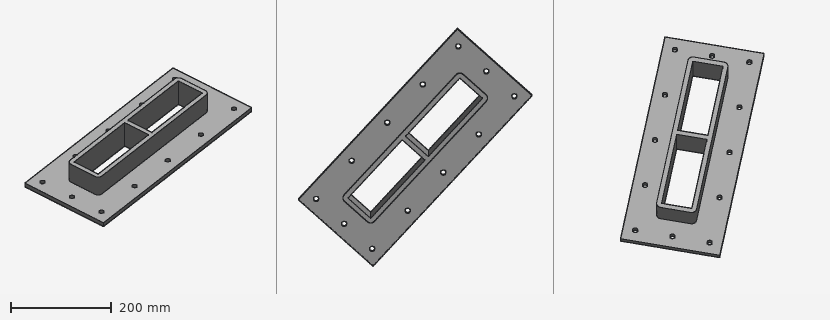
import cadquery as cq

plate_width = 200.5
plate_length = 469.0
plate_thickness = 10.0

duct_width = 80.5
duct_length = 349.5
duct_height = 60.0
duct_below_plate = 4.5
wall = 10.0
corner_radius = 10.0

hole_diameter = 10.5
hole_span_x = 150.5
hole_span_y = 419.5
side_hole_count = 5

opening_width = duct_width - 2 * wall
opening_length = (duct_length - 3 * wall) / 2
opening_offset = (opening_length + wall) / 2


def bolt_positions():
    """Centres of the two long rows plus one hole midway along each end."""
    pitch = hole_span_y / (side_hole_count - 1)
    points = [(0, -hole_span_y / 2), (0, hole_span_y / 2)]
    for x in (-hole_span_x / 2, hole_span_x / 2):
        for i in range(side_hole_count):
            points.append((x, -hole_span_y / 2 + i * pitch))
    return points


plate = (
    cq.Workplane("XY")
    .rect(plate_width, plate_length)
    .extrude(plate_thickness)
)
bolt_holes = (
    cq.Workplane("XY")
    .pushPoints(bolt_positions())
    .circle(hole_diameter / 2)
    .extrude(plate_thickness)
)
duct = (
    cq.Workplane("XY")
    .workplane(offset=-duct_below_plate)
    .rect(duct_width, duct_length)
    .extrude(duct_height)
    .edges("|Z")
    .fillet(corner_radius)
)
openings = (
    cq.Workplane("XY")
    .workplane(offset=-duct_below_plate)
    .pushPoints([(0, -opening_offset), (0, opening_offset)])
    .rect(opening_width, opening_length)
    .extrude(duct_height)
)

result = plate.cut(bolt_holes).union(duct).cut(openings)